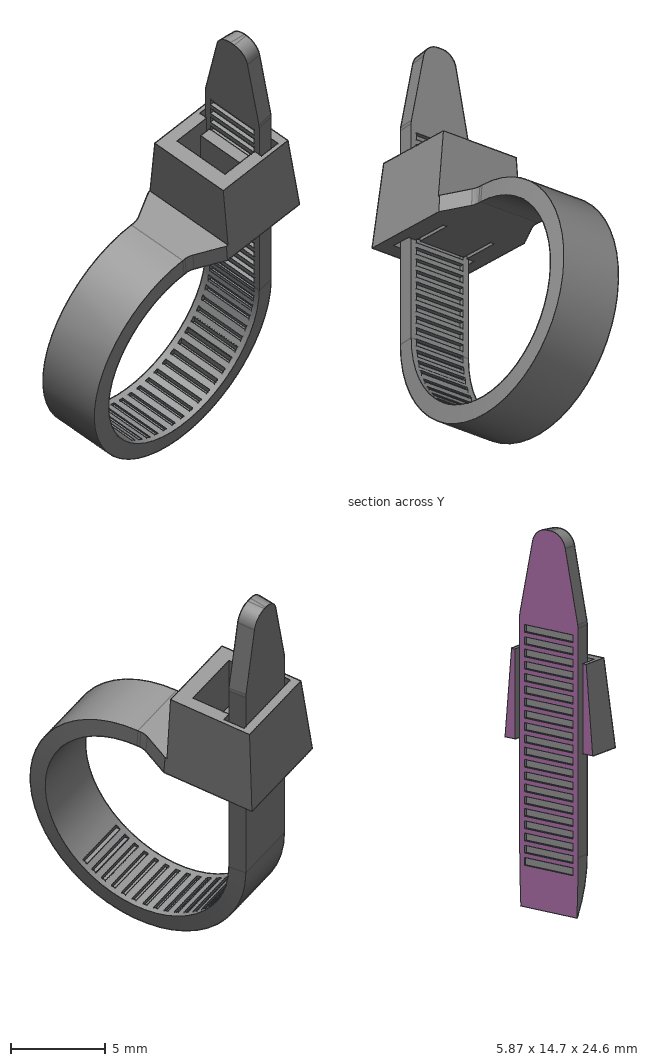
import cadquery as cq
import math

draft_angle = 5.0

inner_radius = 5.81
strap_thickness = 1.02
strap_width = 3.94
outer_radius = inner_radius + strap_thickness

head_top_width = 5.0
head_top_length = 5.0
head_height = 5.0
head_front_y = 2.47

flare_start_y = 2.33
flare_end_y = 0.42
flare_radius = 1.0

tail_taper_start_z = 12.8
tail_tip_z = 17.79
tail_tip_width = 1.9
tail_corner_radius = 1.0

passage_width = 4.5
passage_clearance = 0.12

cavity_width = 3.5
cavity_front_y = 3.4

pawl_width = 3.0
pawl_front_y = 4.96
pawl_back_y = 5.65
pawl_top_gap = 0.63
pawl_arm_thickness = 1.0

notch_width = 3.2
notch_height = 0.4
notch_depth = 0.25
notch_pitch = 0.679
first_notch_z = 12.06
notch_count = 38

draft_slope = math.tan(math.radians(draft_angle))
half_strap = strap_width / 2
half_strap_outer = half_strap - strap_thickness * draft_slope

head_bottom_z = inner_radius
head_top_z = head_bottom_z + head_height
head_draft = head_height * draft_slope
head_bottom_width = head_top_width + 2 * head_draft
head_back_top_y = head_front_y + head_top_length
head_back_bottom_y = head_back_top_y + head_draft


def box(width, y_range, z_range):
    """Box centred on X, between two Y and two Z positions."""
    y_size = y_range[1] - y_range[0]
    z_size = z_range[1] - z_range[0]
    return (
        cq.Workplane("XY")
        .box(width, y_size, z_size, centered=(True, False, False))
        .translate((0, y_range[0], z_range[0]))
    )


def make_loop():
    """Three quarters of a ring whose section narrows towards the outside."""
    section = (
        cq.Workplane("XY")
        .polyline([
            (-half_strap, inner_radius),
            (half_strap, inner_radius),
            (half_strap_outer, outer_radius),
            (-half_strap_outer, outer_radius),
        ])
        .close()
    )
    return section.revolve(270, (0, 0, 0), (-1, 0, 0))


def make_tail():
    """Straight tail with drafted sides, tapering to a rounded tip."""
    half_tip = tail_tip_width / 2
    tail = (
        cq.Workplane("XZ", origin=(0, inner_radius, 0))
        .polyline([
            (-half_strap, -strap_thickness),
            (half_strap, -strap_thickness),
            (half_strap, tail_taper_start_z),
            (half_tip, tail_tip_z),
            (-half_tip, tail_tip_z),
            (-half_strap, tail_taper_start_z),
        ])
        .close()
        .extrude(-strap_thickness, taper=draft_angle)
    )
    tail = tail.intersect(box(strap_width, (inner_radius, outer_radius), (0, tail_tip_z)))
    reach = strap_thickness / 4
    for x, z in ((half_tip, tail_tip_z), (half_strap, tail_taper_start_z)):
        for side in (-1, 1):
            low = (side * x - reach, inner_radius, z - reach)
            high = (side * x + reach, outer_radius, z + reach)
            tail = tail.edges(cq.selectors.BoxSelector(low, high)).fillet(tail_corner_radius)
    return tail


def make_flare():
    """Flat root of the strap, widening from the loop to the head, with drafted sides."""
    half_head = head_bottom_width / 2
    flare_angle = math.atan2(half_head - half_strap, flare_start_y - flare_end_y)
    tangent_length = flare_radius * math.tan(flare_angle / 2)
    arc_start_y = flare_end_y - tangent_length
    arc_middle = (
        half_strap + flare_radius * (1 - math.cos(flare_angle / 2)),
        arc_start_y + flare_radius * math.sin(flare_angle / 2),
    )
    arc_end = (
        half_strap + tangent_length * math.sin(flare_angle),
        flare_end_y + tangent_length * math.cos(flare_angle),
    )
    flare = (
        cq.Workplane("XY", origin=(0, 0, inner_radius))
        .moveTo(half_strap, -strap_thickness)
        .lineTo(half_strap, arc_start_y)
        .threePointArc(arc_middle, arc_end)
        .lineTo(half_head, flare_start_y)
        .lineTo(half_head, cavity_front_y)
        .lineTo(-half_head, cavity_front_y)
        .lineTo(-half_head, flare_start_y)
        .lineTo(-arc_end[0], arc_end[1])
        .threePointArc((-arc_middle[0], arc_middle[1]), (-half_strap, arc_start_y))
        .lineTo(-half_strap, -strap_thickness)
        .close()
        .extrude(strap_thickness, taper=draft_angle)
    )
    wall_middle_y = (head_front_y + cavity_front_y) / 2
    return flare.intersect(box(head_bottom_width, (0, wall_middle_y), (inner_radius, outer_radius)))


def make_head():
    """Locking head: drafted on the sides and back, upright in front, open from top to bottom."""
    bottom_length = head_back_bottom_y - head_front_y
    head = (
        cq.Workplane("XY", origin=(0, head_front_y + bottom_length / 2, head_bottom_z))
        .rect(head_bottom_width, bottom_length)
        .workplane(offset=head_height)
        .center(0, (head_top_length - bottom_length) / 2)
        .rect(head_top_width, head_top_length)
        .loft(ruled=True)
    )
    head_z = (head_bottom_z, head_top_z)
    passage_y = (inner_radius - passage_clearance, outer_radius + passage_clearance)
    head = head.cut(box(passage_width, passage_y, head_z))
    head = head.cut(box(cavity_width, (cavity_front_y, outer_radius), head_z))
    return head


def make_pawl():
    """Locking pawl: a block carried on a low arm from the cavity's front wall."""
    arm_z = (head_bottom_z, head_bottom_z + pawl_arm_thickness)
    arm = box(pawl_width, (cavity_front_y, pawl_back_y), arm_z)
    block = box(pawl_width, (pawl_front_y, pawl_back_y), (head_bottom_z, head_top_z - pawl_top_gap))
    return arm.union(block)


def make_notches():
    """Cutters for the ratchet notches along the inner face of the tail and on around the loop.

    The notches are evenly spaced along that face, and every cutter stays square to Y and Z.
    """
    half_height = notch_height / 2
    cutter = box(notch_width, (0, notch_depth), (-half_height, half_height))
    cutters = []
    for i in range(notch_count):
        distance = first_notch_z - i * notch_pitch
        angle = min(distance, 0) / inner_radius
        y = inner_radius * math.cos(angle)
        z = max(distance, 0) + inner_radius * math.sin(angle)
        cutters.append(cutter.translate((0, y, z)).val())
    return cq.Workplane(obj=cq.Compound.makeCompound(cutters))


strap = make_loop().union(make_tail()).cut(make_notches())
result = make_head().union(make_pawl()).union(make_flare()).union(strap)